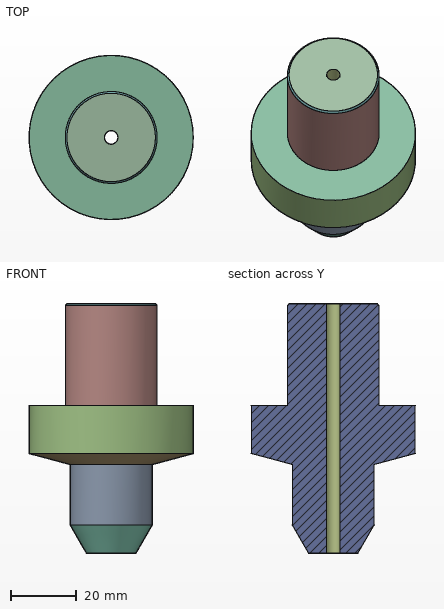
import cadquery as cq
import math

total_height = 76.0
flange_radius = 25.0
shank_radius = 14.0
shank_length = 31.0
shank_chamfer = 0.5
flange_height = 18.0
underside_angle = 15.0
pilot_radius = flange_radius / 2
tip_radius = 7.5
tip_angle = 30.0
bore_diameter = 4.0

flange_top = total_height - shank_length
pilot_top = flange_top - flange_height
underside_rise = (flange_radius - pilot_radius) * math.tan(math.radians(underside_angle))
flange_edge = pilot_top + underside_rise
tip_height = (pilot_radius - tip_radius) / math.tan(math.radians(tip_angle))

body = (
    cq.Workplane("XZ")
    .moveTo(0, 0)
    .lineTo(tip_radius, 0)
    .lineTo(pilot_radius, tip_height)
    .lineTo(pilot_radius, pilot_top)
    .lineTo(flange_radius, flange_edge)
    .lineTo(flange_radius, flange_top)
    .lineTo(shank_radius, flange_top)
    .lineTo(shank_radius, total_height - shank_chamfer)
    .lineTo(shank_radius - shank_chamfer, total_height)
    .lineTo(0, total_height)
    .close()
    .revolve(360, (0, 0), (0, 1))
)

result = body.faces(">Z").workplane().hole(bore_diameter)